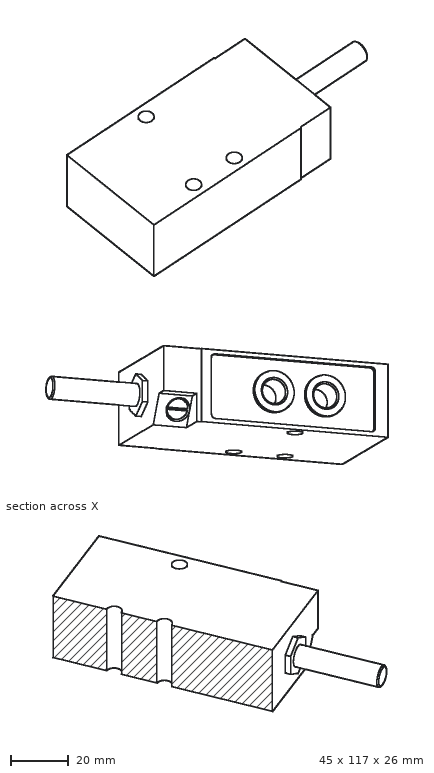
import cadquery as cq
import math


BODY_WIDTH = 45.0
BODY_LENGTH = 69.0
HEIGHT = 26.0
MID_Z = HEIGHT / 2
PORT_FACE_X = -BODY_WIDTH / 2

HEAD_WIDTH = 44.2
HEAD_LENGTH = 14.0
HEAD_END_Y = BODY_LENGTH + HEAD_LENGTH
HEAD_SIDE_X = -HEAD_WIDTH / 2

NUT_ACROSS_FLATS = 13.0
NUT_ACROSS_CORNERS = NUT_ACROSS_FLATS / math.cos(math.radians(30))
NUT_THICKNESS = 2.0
NUT_END_Y = HEAD_END_Y + NUT_THICKNESS
TUBE_DIAMETER = 8.0
TUBE_LENGTH = 32.0
TUBE_CHAMFER = 0.5

PORT_PITCH = 19.0
PORT_CENTRE_Y = 32.6
PANEL_LENGTH = 60.7
PANEL_HEIGHT = 23.0
PANEL_CENTRE_Y = 35.1
PANEL_DEPTH = 1.5
PANEL_CORNER_RADIUS = 1.5
COLLAR_DIAMETER = 14.59
PORT_DIAMETER = 8.57
PORT_MOUTH_DIAMETER = 9.7
PORT_CHAMFER = (PORT_MOUTH_DIAMETER - PORT_DIAMETER) / 2
PORT_DEPTH = 10.0

MOUNT_DIAMETER = 5.5
MOUNT_OFFSET_X = 17.5

NOTCH_LENGTH = 12.3
NOTCH_HEIGHT = 10.0
NOTCH_TILT = 30.0
NOTCH_TOP_DEPTH = 4.5
NOTCH_BOTTOM_DEPTH = NOTCH_TOP_DEPTH + NOTCH_HEIGHT * math.tan(math.radians(NOTCH_TILT))
SCREW_Y = 75.0
SCREW_Z = 5.4
SCREW_RECESS_DIAMETER = 8.57
SCREW_RECESS_DEPTH = 3.0
SCREW_HEAD_DIAMETER = 7.48
SCREW_HEAD_HEIGHT = 2.4
SCREW_SLOT_WIDTH = 0.8
SCREW_SLOT_DEPTH = 1.4

PORT_YS = [PORT_CENTRE_Y - PORT_PITCH / 2, PORT_CENTRE_Y + PORT_PITCH / 2]


def block(width, length, start_y):
    """Full-height block centred on X that starts at start_y."""
    base = cq.Workplane("XY", origin=(0, start_y, 0))
    return base.box(width, length, HEIGHT, centered=(True, False, False))


def end_plane(y):
    """Workplane on the central axis of the tube, facing +Y."""
    return cq.Workplane(cq.Plane(origin=(0, y, MID_Z), xDir=(0, 0, 1), normal=(0, 1, 0)))


def side_plane(y, depth=0.0):
    """Workplane facing -X at mid height, at a depth below the port face; local X runs along -Y."""
    return cq.Workplane(cq.Plane(origin=(PORT_FACE_X + depth, y, MID_Z), xDir=(0, -1, 0), normal=(-1, 0, 0)))


def make_nut():
    return end_plane(HEAD_END_Y).polygon(6, NUT_ACROSS_CORNERS).extrude(NUT_THICKNESS)


def make_tube():
    tube = end_plane(NUT_END_Y).circle(TUBE_DIAMETER / 2).extrude(TUBE_LENGTH)
    return tube.faces(">Y").chamfer(TUBE_CHAMFER)


def make_panel_pocket():
    """Pocket in the port face, leaving the collars standing flush with that face."""
    pocket = side_plane(PANEL_CENTRE_Y).rect(PANEL_LENGTH, PANEL_HEIGHT).extrude(-PANEL_DEPTH)
    pocket = pocket.edges("|X").fillet(PANEL_CORNER_RADIUS)
    for y in PORT_YS:
        pocket = pocket.cut(side_plane(y).circle(COLLAR_DIAMETER / 2).extrude(-PANEL_DEPTH))
    return pocket


def make_port(y):
    """Blind port bore with a countersunk mouth."""
    bore = side_plane(y).circle(PORT_DIAMETER / 2).extrude(-PORT_DEPTH)
    mouth = side_plane(y, PORT_CHAMFER).circle(PORT_DIAMETER / 2)
    mouth = mouth.workplane(offset=PORT_CHAMFER).circle(PORT_MOUTH_DIAMETER / 2).loft()
    return bore.union(mouth)


def make_mounting_holes():
    centres = [(-MOUNT_OFFSET_X, PORT_CENTRE_Y)]
    centres += [(MOUNT_OFFSET_X, y) for y in PORT_YS]
    return cq.Workplane("XY").pushPoints(centres).circle(MOUNT_DIAMETER / 2).extrude(HEIGHT)


def make_notch():
    """Notch under the port-side edge of the head: flat ceiling and sloping back wall."""
    profile = [
        (HEAD_SIDE_X, 0),
        (HEAD_SIDE_X, NOTCH_HEIGHT),
        (HEAD_SIDE_X + NOTCH_TOP_DEPTH, NOTCH_HEIGHT),
        (HEAD_SIDE_X + NOTCH_BOTTOM_DEPTH, 0),
    ]
    notch = cq.Workplane(cq.Plane(origin=(0, HEAD_END_Y, 0), xDir=(1, 0, 0), normal=(0, -1, 0)))
    return notch.polyline(profile).close().extrude(NOTCH_LENGTH)


def screw_plane():
    """Workplane on the sloping back wall of the notch at the screw; local X runs along -Y."""
    tilt = math.radians(NOTCH_TILT)
    x = HEAD_SIDE_X + NOTCH_TOP_DEPTH + (NOTCH_HEIGHT - SCREW_Z) * math.tan(tilt)
    normal = (-math.cos(tilt), 0, -math.sin(tilt))
    return cq.Workplane(cq.Plane(origin=(x, SCREW_Y, SCREW_Z), xDir=(0, -1, 0), normal=normal))


def make_screw():
    """Slotted screw head standing on the floor of its recess."""
    floor = screw_plane().workplane(offset=-SCREW_RECESS_DEPTH)
    head = floor.circle(SCREW_HEAD_DIAMETER / 2).extrude(SCREW_HEAD_HEIGHT)
    slot = floor.workplane(offset=SCREW_HEAD_HEIGHT).rect(SCREW_HEAD_DIAMETER, SCREW_SLOT_WIDTH)
    return head.cut(slot.extrude(-SCREW_SLOT_DEPTH))


result = block(BODY_WIDTH, BODY_LENGTH, 0)
result = result.union(block(HEAD_WIDTH, HEAD_LENGTH, BODY_LENGTH))
result = result.union(make_nut()).union(make_tube())

result = result.cut(make_panel_pocket())
for port_y in PORT_YS:
    result = result.cut(make_port(port_y))
result = result.cut(make_mounting_holes())

result = result.cut(make_notch())
result = result.cut(screw_plane().circle(SCREW_RECESS_DIAMETER / 2).extrude(-SCREW_RECESS_DEPTH))
result = result.union(make_screw())